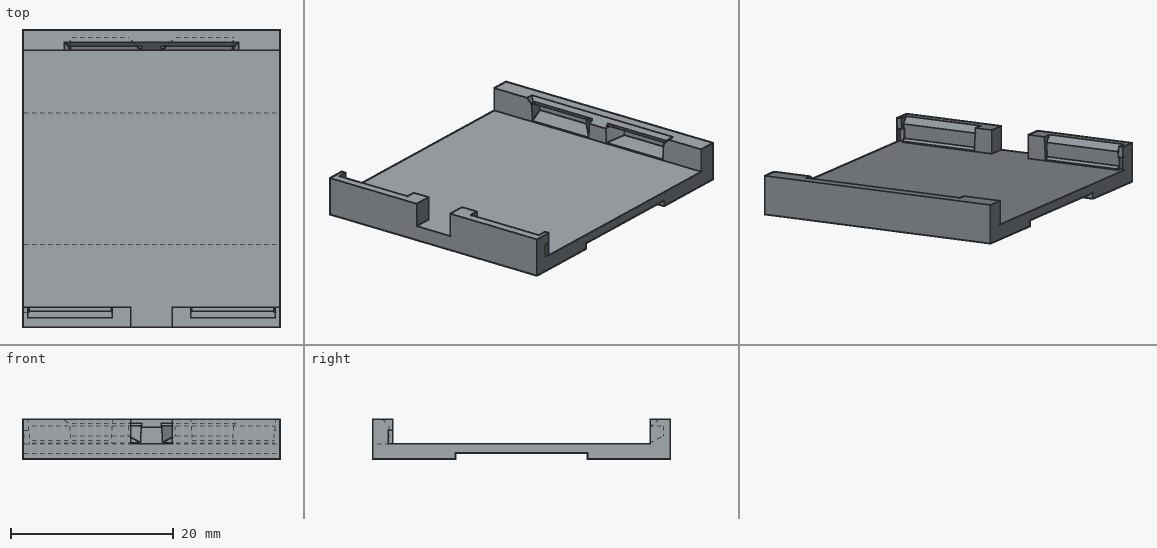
import cadquery as cq
import math

width = 31.59
length = 36.56
height = 4.9
wall_thickness = (length - width) / 2
floor_z = 1.9
foot_length = 10.2
foot_height = 0.75
wall_notch_width = 5.1

half_width = width / 2
half_length = length / 2
wall_inner_y = half_length - wall_thickness
wall_height = height - floor_z

lead_in_slope = math.tan(math.radians(45))
ramp_slope = math.tan(math.radians(28.4))
ramp_start_z = floor_z + 0.13
lip_depth = 0.5
pocket_draft = 0.055 * wall_height

front_pocket_length = 10.4
front_pocket_end_wall = 0.58
front_lead_in_depth = 1.3
front_pocket_center_x = half_width - front_pocket_end_wall - front_pocket_length / 2

relief_skin = 0.1
relief_depth = 0.6
relief_height = 1.65

back_pocket_end_x = 10.1
back_groove_half_length = 10.75
back_lead_in_depth = 1.0
back_ceiling_z = height - 0.8
back_pocket_depth = 1.6
rib_half_width = 1.2


def extrude_along_x(yz_points, half_span):
    """Prism with the given YZ outline, centred on X = 0."""
    return cq.Workplane("YZ").polyline(yz_points).close().extrude(half_span, both=True)


def drafted_prism(top_points, bottom_points):
    """Ruled solid from the floor to the top of the walls."""
    return (
        cq.Workplane("XY", origin=(0, 0, floor_z))
        .polyline(bottom_points)
        .close()
        .workplane(offset=wall_height)
        .polyline(top_points)
        .close()
        .loft(ruled=True)
    )


def ramp_z(depth):
    """Height of a pocket's ramp at a depth behind the wall's inner face."""
    return ramp_start_z + ramp_slope * depth


def make_body():
    """Plate with a wall at each end and a shallow channel across its underside."""
    outline = [
        (-half_length, 0),
        (-half_length, height),
        (-wall_inner_y, height),
        (-wall_inner_y, floor_z),
        (wall_inner_y, floor_z),
        (wall_inner_y, height),
        (half_length, height),
        (half_length, 0),
        (half_length - foot_length, 0),
        (half_length - foot_length, foot_height),
        (foot_length - half_length, foot_height),
        (foot_length - half_length, 0),
    ]
    return extrude_along_x(outline, half_width)


def make_wall_notch():
    """Gap in the middle of the -Y wall, down to the floor."""
    return (
        cq.Workplane("XY")
        .box(wall_notch_width, wall_thickness, wall_height, centered=(True, False, False))
        .translate((0, -half_length, floor_z))
    )


def make_front_pocket():
    """Pocket in the -Y wall on the +X side: lead-in slope, upright back and ramp."""
    lip_y = -wall_inner_y - lip_depth
    profile = extrude_along_x(
        [
            (-wall_inner_y, ramp_start_z),
            (-wall_inner_y, height),
            (-wall_inner_y - front_lead_in_depth, height),
            (lip_y, height - lead_in_slope * (front_lead_in_depth - lip_depth)),
            (lip_y, ramp_z(lip_depth)),
        ],
        half_width,
    )

    def plan(half_span):
        left = front_pocket_center_x - half_span
        right = front_pocket_center_x + half_span
        return [(left, -half_length), (right, -half_length), (right, -wall_inner_y), (left, -wall_inner_y)]

    top_half_span = front_pocket_length / 2
    return profile.intersect(drafted_prism(plan(top_half_span), plan(top_half_span - pocket_draft)))


def make_end_relief():
    """Box-shaped relief between the +X front pocket and the thin skin at the plate's side."""
    relief_width = front_pocket_end_wall + pocket_draft - relief_skin
    return (
        cq.Workplane("XY")
        .box(relief_width, relief_depth, relief_height, centered=False)
        .translate((half_width - relief_skin - relief_width, -wall_inner_y - relief_depth, floor_z))
    )


def make_back_groove():
    """Lead-in groove along the top of the +Y wall, sloped at its back and both ends."""
    profile = extrude_along_x(
        [
            (wall_inner_y, height),
            (wall_inner_y + back_lead_in_depth, height),
            (wall_inner_y, height - lead_in_slope * back_lead_in_depth),
        ],
        half_width,
    )
    bottom_half_length = back_groove_half_length - back_lead_in_depth / lead_in_slope
    ends = (
        cq.Workplane("XZ")
        .polyline(
            [
                (-back_groove_half_length, height),
                (back_groove_half_length, height),
                (bottom_half_length, height - back_lead_in_depth),
                (-bottom_half_length, height - back_lead_in_depth),
            ]
        )
        .close()
        .extrude(-half_length)
    )
    return profile.intersect(ends)


def make_back_pocket():
    """Undercut pocket in the +Y wall on the +X side of the rib, whose side flares at 45 degrees."""
    back_y = wall_inner_y + back_pocket_depth
    profile = extrude_along_x(
        [
            (wall_inner_y, ramp_start_z),
            (wall_inner_y, back_ceiling_z),
            (back_y, back_ceiling_z),
            (back_y, ramp_z(back_pocket_depth)),
        ],
        half_width,
    )

    def plan(inset):
        rib_x = rib_half_width + inset
        end_x = back_pocket_end_x - inset
        return [
            (rib_x, wall_inner_y),
            (end_x, wall_inner_y),
            (end_x, half_length),
            (rib_x + wall_thickness, half_length),
        ]

    return profile.intersect(drafted_prism(plan(0), plan(pocket_draft)))


def make_back_pocket_mouth():
    """Straight-sided opening that joins a back pocket to the lead-in groove above it."""
    return (
        cq.Workplane("XY")
        .box(back_pocket_end_x - rib_half_width, lip_depth, height - back_ceiling_z, centered=False)
        .translate((rib_half_width, wall_inner_y, back_ceiling_z))
    )


side_cuts = [
    make_front_pocket(),
    make_end_relief(),
    make_back_pocket(),
    make_back_pocket_mouth(),
]

result = make_body().cut(make_wall_notch()).cut(make_back_groove())
for side_cut in side_cuts:
    result = result.cut(side_cut).cut(side_cut.mirror("YZ"))